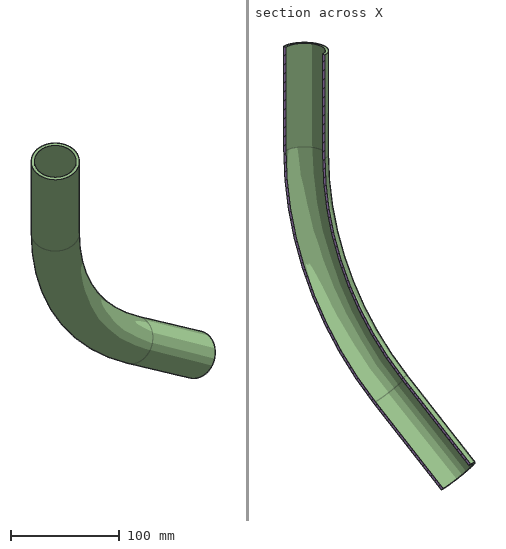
import cadquery as cq
import math

total_height = 404.5
outer_diameter = 44.5
inner_diameter = 38.5
straight_length = 101.5
bend_angle = 45.0

sin_bend = math.sin(math.radians(bend_angle))
cos_bend = math.cos(math.radians(bend_angle))
end_rim_drop = outer_diameter / 2 * sin_bend
bend_height = total_height - straight_length * (1 + cos_bend) - end_rim_drop
bend_radius = bend_height / sin_bend


def tube_section(workplane):
    """Draw the ring-shaped cross-section of the tube."""
    return workplane.circle(outer_diameter / 2).circle(inner_diameter / 2)


upper_leg = tube_section(cq.Workplane("XY")).extrude(straight_length)

bend = tube_section(cq.Workplane("XY")).revolve(
    bend_angle, (0, bend_radius, 0), (1, bend_radius, 0)
)

lower_joint = (0, bend_radius * (1 - cos_bend), -bend_height)
lower_direction = (0, sin_bend, -cos_bend)
lower_plane = cq.Plane(origin=lower_joint, xDir=(1, 0, 0), normal=lower_direction)
lower_leg = tube_section(cq.Workplane(lower_plane)).extrude(straight_length)

result = upper_leg.union(bend).union(lower_leg)